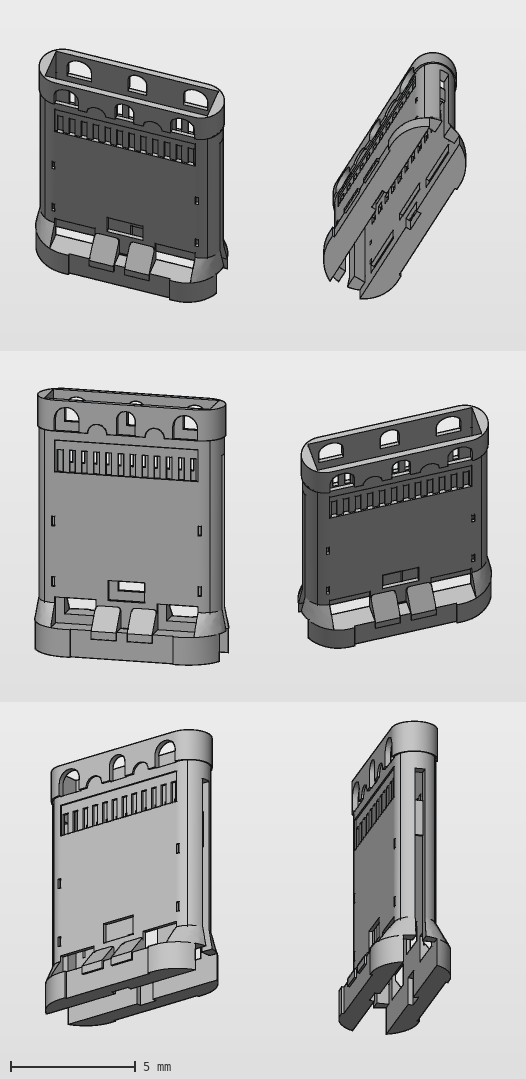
import cadquery as cq

total_height = 10.43
base_height = 1.15
flare_top = 2.01
collar_bottom = 9.15

collar_radius = 0.94
collar_center = 2.92
body_radius = 0.86
body_center = 2.96
base_depth = 3.22
base_radius = base_depth / 2
base_center = 2.36

cavity_half_x = 3.42
cavity_half_y = 0.7

base_recess_half_x = 2.13
base_recess_y = 1.52

base_groove_left = -0.28
base_groove_right = 0.52
base_groove_y = 0.91

tongue_half_x = 1.26
opening_top = 2.25
window_width = 1.51
window_top = 3.09

band_bottom = 7.44
band_top = 8.75
band_depth = 0.06
contact_count = 12
contact_pitch = 0.5
contact_width = 0.24
contact_top = 8.35

arch_floor = 9.13
arch_top = 10.16
outer_arch_width = 1.02
middle_arch_width = 0.78
scallop_center = 1.19
scallop_radius = 0.4

tab_inner = 0.23
tab_bottom = 0.81
tab_corner_radius = 0.15

side_slot_width = 0.41
side_slot_top = 8.42
web_bottom = 5.67
web_top = 7.17
web_thickness = 0.09

nick_width = 0.13
nick_depth = 0.13
nick_height = 0.4
nick_bottoms = (2.69, 5.19)


def block(x_range, y_range, z_range):
    """Box spanning the given pairs of limits."""
    spans = [high - low for low, high in (x_range, y_range, z_range)]
    corner = (x_range[0], y_range[0], z_range[0])
    return cq.Workplane("XY").box(*spans, centered=False).translate(corner)


def centered_block(half_x, half_y, z_range):
    return block((-half_x, half_x), (-half_y, half_y), z_range)


def stadium(center, radius, z_range):
    sketch = cq.Workplane("XY").workplane(offset=z_range[0])
    return sketch.slot2D(2 * (center + radius), 2 * radius).extrude(z_range[1] - z_range[0])


def mirrored(shape, plane):
    return shape.union(shape.mirror(plane))


def four_corners(shape):
    return mirrored(mirrored(shape, "XZ"), "YZ")


def make_base():
    base = stadium(base_center, base_radius, (0, base_height))
    recess = block(
        (-base_recess_half_x, base_recess_half_x), (base_recess_y, base_radius), (0, base_height)
    )
    end_gap = centered_block(base_center + base_radius, cavity_half_y, (0, base_height))
    return base.cut(mirrored(recess, "XZ")).cut(end_gap)


def make_flare():
    """Skirt at both ends, spreading from the body outline to the base outline."""
    skirt = (
        cq.Workplane("XY")
        .workplane(offset=base_height)
        .slot2D(2 * (base_center + base_radius), 2 * base_radius)
        .workplane(offset=flare_top - base_height)
        .slot2D(2 * (body_center + body_radius), 2 * body_radius)
        .loft(ruled=True, combine=True)
    )
    return skirt.cut(centered_block(body_center, base_radius, (base_height, flare_top)))


def make_body():
    body = stadium(body_center, body_radius, (base_height, collar_bottom))
    opening = block((tongue_half_x, body_center), (0, body_radius), (base_height, opening_top))
    return body.cut(four_corners(opening))


def make_tabs():
    profile = [
        (cavity_half_y, tab_bottom),
        (base_radius, tab_bottom),
        (base_radius, base_height),
        (body_radius, flare_top),
        (cavity_half_y, flare_top),
    ]
    tab = cq.Workplane("YZ").polyline(profile).close().extrude(tongue_half_x - tab_inner)
    tab = tab.translate((tab_inner, 0, 0))
    rounding = (
        cq.Workplane("XZ")
        .center((tab_inner + tongue_half_x) / 2, (tab_bottom + flare_top) / 2)
        .rect(tongue_half_x - tab_inner, flare_top - tab_bottom)
        .extrude(-base_radius)
        .edges("|Y and >Z")
        .fillet(tab_corner_radius)
    )
    return four_corners(tab.intersect(rounding))


def arch(center, width):
    """Round-topped hole through both long walls."""
    radius = width / 2
    spring = arch_top - radius
    return (
        cq.Workplane("XZ")
        .moveTo(center - radius, arch_floor)
        .lineTo(center - radius, spring)
        .threePointArc((center, arch_top), (center + radius, spring))
        .lineTo(center + radius, arch_floor)
        .close()
        .extrude(collar_radius, both=True)
    )


def cut_base_groove(part):
    return part.cut(
        block(
            (base_groove_left, base_groove_right), (-base_groove_y, base_groove_y), (0, base_height)
        )
    )


def cut_collar_openings(part):
    outer_center = body_center - outer_arch_width / 2
    arches = arch(0, middle_arch_width).union(mirrored(arch(outer_center, outer_arch_width), "YZ"))
    scallop = (
        cq.Workplane("XZ", origin=(scallop_center, body_radius, collar_bottom))
        .circle(scallop_radius)
        .extrude(body_radius - collar_radius)
    )
    return part.cut(arches).cut(four_corners(scallop))


def cut_contact_slots(part):
    band = block(
        (-body_center, body_center),
        (body_radius - band_depth, body_radius),
        (band_bottom, band_top),
    )
    part = part.cut(mirrored(band, "XZ"))
    for index in range(contact_count):
        x = (index - (contact_count - 1) / 2) * contact_pitch
        slot = centered_block(contact_width / 2, body_radius, (band_bottom, contact_top))
        part = part.cut(slot.translate((x, 0, 0)))
    return part


def cut_nicks(part):
    for bottom in nick_bottoms:
        nick = block(
            (body_center, body_center + nick_width),
            (body_radius - nick_depth, body_radius),
            (bottom, bottom + nick_height),
        )
        part = part.cut(four_corners(nick))
    return part


def cut_side_slots(part):
    half_x = base_center + base_radius
    half_y = side_slot_width / 2
    slot = centered_block(half_x, half_y, (base_height, side_slot_top))
    web = block((cavity_half_x, cavity_half_x + web_thickness), (-half_y, half_y), (web_bottom, web_top))
    return part.cut(slot.cut(mirrored(web, "YZ")))


result = make_base().union(make_flare()).union(make_body())
result = result.union(stadium(collar_center, collar_radius, (collar_bottom, total_height)))
result = result.union(make_tabs())
result = result.cut(centered_block(cavity_half_x, cavity_half_y, (0, total_height)))
result = cut_base_groove(result)
result = cut_collar_openings(result)
result = cut_contact_slots(result)
result = result.cut(centered_block(window_width / 2, body_radius, (opening_top, window_top)))
result = cut_nicks(result)
result = cut_side_slots(result)